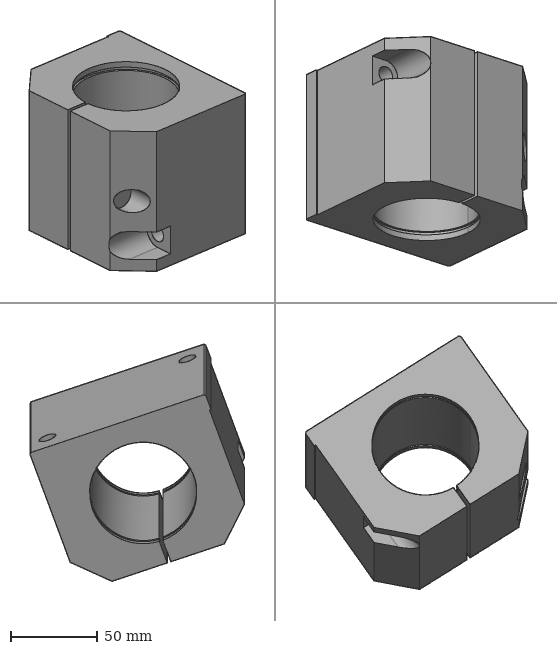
import cadquery as cq

length = 108.0
width = 90.0
height = 91.0
right_side = length / 2
left_side = -length / 2
front_face = -width / 2
back_face = width / 2

front_chamfer = 19.0
back_chamfer = 1.0
left_relief = 1.0
rail_width = 10.0

bore_diameter = 62.0
slit_width = 2.2
groove_width = 2.2
groove_depth = 1.5
groove_inset = 3.6

hole_diameter = 10.2
pocket_diameter = 18.0
pocket_depth = 30.0
hole_from_side = 11.0
hole_from_end = 16.6

recess_diameter = 15.0
recess_from_front = 9.0
recess_floor = right_side - front_chamfer


def make_block():
    """Block with front chamfers and a raised locating rail at the left rear."""
    body_left = left_side + left_relief
    rail_front = back_face - rail_width
    outline = [
        (left_side + back_chamfer, back_face),
        (right_side - back_chamfer, back_face),
        (right_side, back_face - back_chamfer),
        (right_side, front_face + front_chamfer),
        (right_side - front_chamfer, front_face),
        (body_left + front_chamfer, front_face),
        (body_left, front_face + front_chamfer),
        (body_left, rail_front),
        (left_side, rail_front),
        (left_side, back_face - back_chamfer),
    ]
    block = cq.Workplane("XY").polyline(outline).close().extrude(height)
    return block.translate((0, 0, -height / 2))


def cut_bore(body):
    """Cut the bore, the slit to the front and a ring groove near each end."""
    bore = cq.Workplane("XY").circle(bore_diameter / 2).extrude(height / 2, both=True)
    slit = cq.Workplane("XY").box(slit_width, width / 2, height).translate((0, front_face / 2, 0))
    body = body.cut(bore).cut(slit)
    groove_center = height / 2 - groove_inset - groove_width / 2
    for end in (-1, 1):
        groove = cq.Workplane("XY").circle(bore_diameter / 2 + groove_depth)
        groove = groove.extrude(groove_width / 2, both=True)
        body = body.cut(groove.translate((0, 0, end * groove_center)))
    return body


def cut_mounting_hole(body, side):
    """Cut a pocket and through hole; side is -1 (upper left) or 1 (lower right)."""
    x = side * (length / 2 - hole_from_side)
    z = -side * (height / 2 - hole_from_end)
    front = cq.Workplane("XZ", origin=(x, front_face, z))
    hole = front.circle(hole_diameter / 2).extrude(-width)
    pocket = front.circle(pocket_diameter / 2).extrude(-pocket_depth)
    opening = front.center(side * hole_from_side / 2, 0)
    opening = opening.rect(hole_from_side, pocket_diameter).extrude(-pocket_depth)
    return body.cut(pocket).cut(opening).cut(hole)


def cut_screw_recess(body):
    """Cut the blind clamp screw recess at mid height."""
    start = cq.Workplane("YZ", origin=(recess_floor, front_face + recess_from_front, 0))
    return body.cut(start.circle(recess_diameter / 2).extrude(front_chamfer))


result = cut_bore(make_block())
for side in (-1, 1):
    result = cut_mounting_hole(result, side)
result = cut_screw_recess(result)